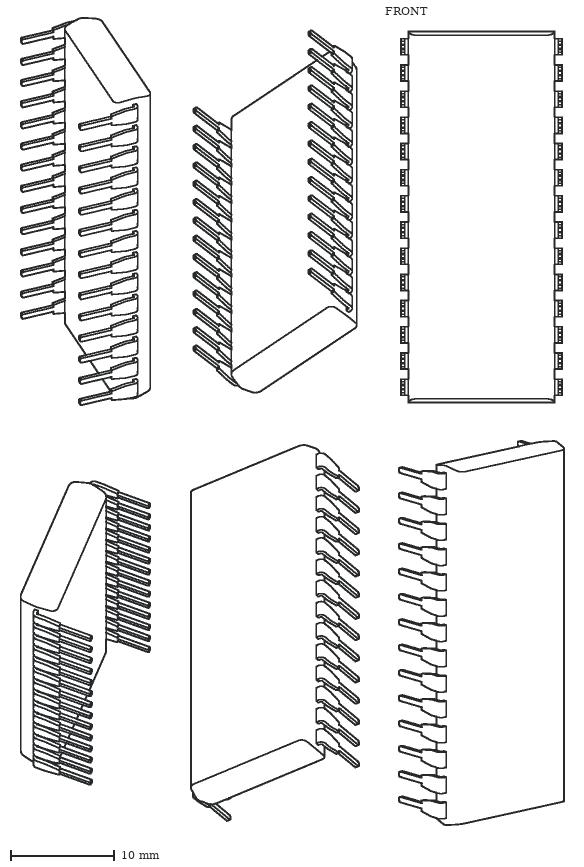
import cadquery as cq
import math


body_length = 36.0
body_width = 14.2
body_thickness = 3.9
side_draft = 10.0
end_draft = 12.0
face_edge_radius = 0.7

leads_per_row = 14
lead_pitch = 2.54
lead_thickness = 0.35
row_span = 15.63
bend_inner_radius = 0.1
shoulder_width = 1.6
shoulder_end_width = 1.08
pin_width = 0.55
tip_chamfer = 0.1
root_embed = 0.72

shoulder_taper_start = 1.2
shoulder_end = 2.65
tip_reach = 5.98

half_thickness = body_thickness / 2
half_lead = lead_thickness / 2
bend_outer_radius = bend_inner_radius + lead_thickness


def drafted_half_outline(half_size, draft):
    """Corner points (across, y) of a section with a straight band and drafted sides."""
    inset = (half_thickness - half_lead) * math.tan(math.radians(draft))
    return [
        (-half_size, -half_lead),
        (-half_size + inset, -half_thickness),
        (half_size - inset, -half_thickness),
        (half_size, -half_lead),
        (half_size, half_lead),
        (half_size - inset, half_thickness),
        (-half_size + inset, half_thickness),
        (-half_size, half_lead),
    ]


def make_body():
    """Cross-section with rounded long edges, trimmed to the drafted end profile."""
    section = (
        cq.Workplane("XY")
        .polyline(drafted_half_outline(body_width / 2, side_draft))
        .close()
        .extrude(body_length / 2, both=True)
    )
    long_face_edges = section.faces("<Y or >Y").edges("|Z")
    section = long_face_edges.fillet(face_edge_radius)
    end_points = [(y, z) for z, y in drafted_half_outline(body_length / 2, end_draft)]
    end_profile = (
        cq.Workplane("YZ")
        .polyline(end_points)
        .close()
        .extrude(body_width / 2, both=True)
    )
    return section.intersect(end_profile)


def make_lead():
    """One lead of the +X row, centred on z = 0."""
    outer_x = row_span / 2
    bend_x = outer_x - bend_outer_radius
    bend_y = half_lead - bend_outer_radius
    root_x = body_width / 2 - root_embed
    diagonal = math.sqrt(0.5)
    bent_strip = (
        cq.Workplane("XY")
        .moveTo(root_x, half_lead)
        .lineTo(bend_x, half_lead)
        .threePointArc(
            (bend_x + bend_outer_radius * diagonal, bend_y + bend_outer_radius * diagonal),
            (outer_x, bend_y),
        )
        .lineTo(outer_x, -tip_reach)
        .lineTo(outer_x - lead_thickness, -tip_reach)
        .lineTo(outer_x - lead_thickness, bend_y)
        .threePointArc(
            (bend_x + bend_inner_radius * diagonal, bend_y + bend_inner_radius * diagonal),
            (bend_x, -half_lead),
        )
        .lineTo(root_x, -half_lead)
        .close()
        .extrude(shoulder_width / 2, both=True)
    )
    half_profile = [
        (half_lead, shoulder_width / 2),
        (-shoulder_taper_start, shoulder_width / 2),
        (-shoulder_end, shoulder_end_width / 2),
        (-shoulder_end, pin_width / 2),
        (-tip_reach + tip_chamfer, pin_width / 2),
        (-tip_reach, pin_width / 2 - tip_chamfer),
    ]
    mirrored_half = [(y, -z) for y, z in reversed(half_profile)]
    flat_profile = (
        cq.Workplane("YZ")
        .polyline(half_profile + mirrored_half)
        .close()
        .extrude(outer_x)
    )
    return bent_strip.intersect(flat_profile)


result = make_body()
right_lead = make_lead()
left_lead = right_lead.mirror("YZ")
for index in range(leads_per_row):
    lead_z = (index - (leads_per_row - 1) / 2) * lead_pitch
    for lead in (right_lead, left_lead):
        result = result.union(lead.translate((0, 0, lead_z)))